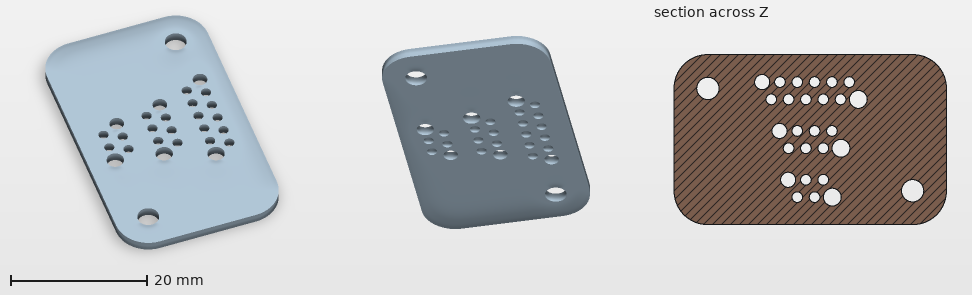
import cadquery as cq

PLATE_LENGTH = 40.0
PLATE_WIDTH = 25.0
PLATE_THICKNESS = 1.51
CORNER_RADIUS = 5.0

MOUNT_DIAMETER = 3.2
MOUNT_X = PLATE_LENGTH / 2 - CORNER_RADIUS
MOUNT_Y = PLATE_WIDTH / 2 - CORNER_RADIUS

PIN_DIAMETER = 1.5
PIN_PITCH = 2.54
ROW_SPACING = 2.54
SMALL_PEG_DIAMETER = 2.15
LARGE_PEG_DIAMETER = 2.55
PEG_TO_PIN = 2.6
GROUP_SPACING = 7.16
PINS_PER_ROW = (5, 3, 2)


def make_plate():
    plate = cq.Workplane("XY").box(
        PLATE_LENGTH, PLATE_WIDTH, PLATE_THICKNESS, centered=(True, True, False)
    )
    return plate.edges("|Z").fillet(CORNER_RADIUS)


def cut_holes(body, centres, diameter):
    """Cut round through holes at the given (x, y) centres."""
    cutters = (
        cq.Workplane("XY").pushPoints(centres).circle(diameter / 2).extrude(PLATE_THICKNESS)
    )
    return body.cut(cutters)


def cut_pin_group(body, pin_count, group_y):
    """Cut one group; its rows are staggered by half a pitch about X = 0."""
    half_row = (pin_count - 1) * PIN_PITCH / 2
    stagger = PIN_PITCH / 4
    upper_y = group_y + ROW_SPACING / 2
    lower_y = group_y - ROW_SPACING / 2
    upper_start_x = stagger - half_row
    lower_start_x = -stagger - half_row
    lower_end_x = half_row - stagger

    pins = []
    for index in range(pin_count):
        pins.append((upper_start_x + index * PIN_PITCH, upper_y))
        pins.append((lower_start_x + index * PIN_PITCH, lower_y))
    body = cut_holes(body, pins, PIN_DIAMETER)

    body = cut_holes(body, [(upper_start_x - PEG_TO_PIN, upper_y)], SMALL_PEG_DIAMETER)
    return cut_holes(body, [(lower_end_x + PEG_TO_PIN, lower_y)], LARGE_PEG_DIAMETER)


result = make_plate()
result = cut_holes(result, [(-MOUNT_X, MOUNT_Y), (MOUNT_X, -MOUNT_Y)], MOUNT_DIAMETER)
top_group_y = GROUP_SPACING * (len(PINS_PER_ROW) - 1) / 2
for group_index, pins_in_row in enumerate(PINS_PER_ROW):
    result = cut_pin_group(result, pins_in_row, top_group_y - group_index * GROUP_SPACING)